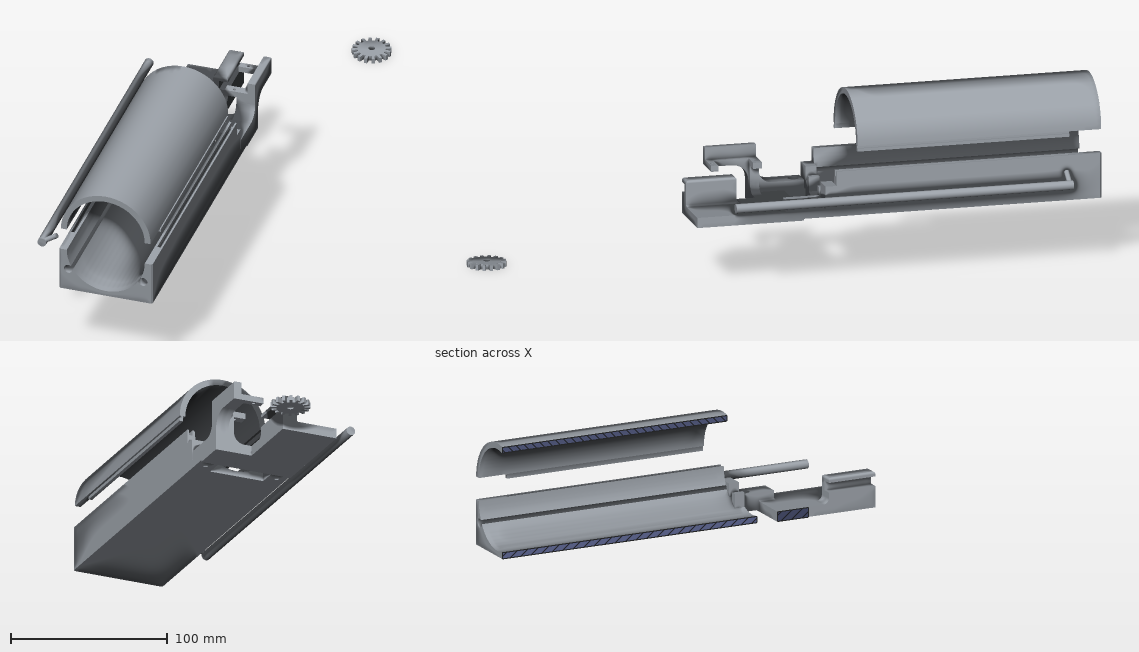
import cadquery as cq
import math


half_width = 31.2
bore_radius = 26.0
joint_y = 182.0
lap_end_y = 196.0
lap_z = 5.5
lap_inner_x = 18.5
screw_x = 25.0
screw_y = 188.5
screw_hole_dia = 3.32

channel_top_z = 29.5
wall_end_y = 175.0
shelf_z = 20.0
front_chamfer = 1.0
rod_dia = 6.0
groove_end_y = 178.5
rod_axis_z = 15.5
groove_x = 25.0
post_inner_x = 10.5
post_width = 3.5
post_top_z = 15.5
slot_start_y = 21.0
slot_inner_x = 27.5
slot_width = 2.5
slot_depth = 3.5

cover_length = 160.5
cover_radius = 30.0
cover_axis_z = 45.0
lip_inner_x = slot_inner_x
neck_width = 1.0
neck_height = 1.5
bead_height = 2.0

plate_bottom_z = -1.0
plate_right_x = 6.5
mount_end_y = 266.5
ear_top_z = 11.5
ear_gap = 1.0
ear_front_y = joint_y + ear_gap
foot_fillet = 1.0
ear_rear_y = 207.0
screw_head_dia = 7.0
screw_head_depth = 2.5

tower_left_x = -3.5
tower_start_y = 233.5
tower_top_z = 22.5
tower_edge_radius = 1.5
tower_foot_radius = 3.5
jaw_back_x = 0.5
jaw_bottom_z = 13.0
jaw_top_z = 19.5

bracket_start_y = 212.8
bracket_end_y = 246.5
near_arm_width = 6.0
far_arm_width = 4.7
column_end_y = bracket_start_y + near_arm_width
arm_tip_x = 10.5
arm_bottom_z = 23.5
arm_top_z = 27.3
rail_x = 22.5
fence_x = 26.0
fence_top_z = 35.2
fence_edge_radius = 0.8
ramp_radius = 8.5
rail_arch_radius = 10.5
column_foot_radius = 7.0
arm_hole_dia = 2.0
arm_hole_x = 16.5
arm_hole_inset = 2.5

rod_x = -50.5
rod_start_y = 24.0
rod_end_y = 246.5
lever_dia = 3.32
lever_length = 11.5
lever_angle = 33

gear_x = 54.0
gear_y = 383.0
gear_bottom_z = -40.7
gear_thickness = 3.5
gear_radius = 12.5
gear_root_radius = 9.0
gear_teeth = 16
tooth_width = 2.0
gear_bore_dia = 4.5


def box(x0, x1, y0, y1, z0, z1):
    """Block between two opposite corners."""
    return cq.Workplane("XY").box(x1 - x0, y1 - y0, z1 - z0, centered=False).translate((x0, y0, z0))


def rod_along_y(diameter, x, z, y0, y1):
    """Cylinder parallel to Y."""
    profile = cq.Workplane("XZ", origin=(0, y0, 0)).center(x, z).circle(diameter / 2)
    return profile.extrude(-(y1 - y0))


def drill(diameter, x, y, z0, z1):
    """Cylinder parallel to Z, used as a cutter."""
    return cq.Workplane("XY", origin=(x, y, z0)).circle(diameter / 2).extrude(z1 - z0)


def mirrored_pair(shape):
    """The shape together with its mirror image across X = 0."""
    return shape.union(shape.mirror("YZ"))


def make_channel():
    body = box(-half_width, half_width, 0, joint_y, 0, channel_top_z)
    body = body.edges("|Z and <Y").chamfer(front_chamfer)
    body = body.cut(rod_along_y(2 * bore_radius, 0, channel_top_z, 0, joint_y))

    body = body.cut(box(-half_width, half_width, wall_end_y, joint_y, shelf_z, channel_top_z))
    body = body.union(mirrored_pair(box(lap_inner_x, half_width, wall_end_y, joint_y, 0, shelf_z)))

    body = body.cut(mirrored_pair(rod_along_y(rod_dia, groove_x, rod_axis_z, 0, groove_end_y)))

    slot = box(
        slot_inner_x, slot_inner_x + slot_width,
        slot_start_y, wall_end_y,
        channel_top_z - slot_depth, channel_top_z,
    )
    body = body.cut(mirrored_pair(slot))

    post = box(post_inner_x, post_inner_x + post_width, wall_end_y, joint_y, 0, post_top_z)
    body = body.union(mirrored_pair(post))

    tab = box(lap_inner_x, half_width, joint_y, lap_end_y, 0, lap_z)
    tab = tab.cut(drill(screw_hole_dia, screw_x, screw_y, 0, lap_z))
    return body.union(mirrored_pair(tab))


def make_cover():
    shell = (
        cq.Workplane("XZ")
        .moveTo(-cover_radius, cover_axis_z)
        .threePointArc((0, cover_axis_z + cover_radius), (cover_radius, cover_axis_z))
        .lineTo(bore_radius, cover_axis_z)
        .threePointArc((0, cover_axis_z + bore_radius), (-bore_radius, cover_axis_z))
        .close()
        .extrude(-cover_length)
    )
    neck_z = cover_axis_z - neck_height
    neck = box(lip_inner_x, lip_inner_x + neck_width, slot_start_y, cover_length, neck_z, cover_axis_z)
    bead = box(lip_inner_x, cover_radius, slot_start_y, cover_length, neck_z - bead_height, neck_z)
    return shell.union(mirrored_pair(neck.union(bead)))


def make_tower():
    """Block with a jaw open towards +X."""
    tower = box(tower_left_x, plate_right_x, tower_start_y, mount_end_y, lap_z, tower_top_z)
    tower = tower.faces(">Z").edges().fillet(tower_edge_radius)
    return tower.cut(box(jaw_back_x, plate_right_x, tower_start_y, mount_end_y, jaw_bottom_z, jaw_top_z))


def make_tower_foot():
    """Large concave fillet along the front of the tower."""
    foot_y = tower_start_y - tower_foot_radius
    return (
        cq.Workplane("YZ", origin=(tower_left_x, 0, 0))
        .moveTo(foot_y, lap_z)
        .radiusArc((tower_start_y, lap_z + tower_foot_radius), -tower_foot_radius)
        .lineTo(tower_start_y, lap_z)
        .close()
        .extrude(plate_right_x - tower_left_x)
    )


def make_bracket():
    """Two arms on a rail that reaches back from a column at the +X side."""
    near_arm = box(arm_tip_x, half_width, bracket_start_y, column_end_y, arm_bottom_z, arm_top_z)
    far_arm_y = bracket_end_y - far_arm_width
    far_arm = box(arm_tip_x, half_width, far_arm_y, bracket_end_y, arm_bottom_z, arm_top_z)
    rail = box(rail_x, half_width, bracket_start_y, bracket_end_y, arm_bottom_z, arm_top_z)
    fence = box(fence_x, half_width, bracket_start_y, bracket_end_y, arm_top_z, fence_top_z)
    fence = fence.edges(">X and >Z").fillet(fence_edge_radius)
    column = box(lap_inner_x, half_width, bracket_start_y, column_end_y, lap_z, arm_bottom_z)
    bracket = rail.union(near_arm).union(far_arm).union(fence).union(column)

    arch_z = arm_bottom_z - rail_arch_radius
    arch = (
        cq.Workplane("YZ", origin=(rail_x, 0, 0))
        .moveTo(column_end_y, arch_z)
        .radiusArc((column_end_y + rail_arch_radius, arm_bottom_z), rail_arch_radius)
        .lineTo(column_end_y, arm_bottom_z)
        .close()
        .extrude(half_width - rail_x)
    )

    ramp = (
        cq.Workplane("YZ", origin=(lap_inner_x, 0, 0))
        .moveTo(bracket_start_y - ramp_radius, ear_top_z)
        .radiusArc((bracket_start_y, ear_top_z + ramp_radius), -ramp_radius)
        .lineTo(bracket_start_y, ear_top_z)
        .close()
        .extrude(half_width - lap_inner_x)
    )

    foot = (
        cq.Workplane("XZ", origin=(0, bracket_start_y, 0))
        .moveTo(lap_inner_x - column_foot_radius, lap_z)
        .radiusArc((lap_inner_x, lap_z + column_foot_radius), -column_foot_radius)
        .lineTo(lap_inner_x, lap_z)
        .close()
        .extrude(-near_arm_width)
    )
    bracket = bracket.union(arch).union(ramp).union(foot)

    for hole_y in (bracket_start_y + arm_hole_inset, bracket_end_y - arm_hole_inset):
        bracket = bracket.cut(drill(arm_hole_dia, arm_hole_x, hole_y, arm_bottom_z, arm_top_z))
    return bracket


def fillet_foot(body, x0, x1, y0, y1):
    """Fillet the edges on top of the mount plate whose middles lie in the given rectangle."""
    margin = 0.5
    corner = (x0 - margin, y0 - margin, lap_z - margin)
    opposite = (x1 + margin, y1 + margin, lap_z + margin)
    edges = body.edges(cq.selectors.BoxSelector(corner, opposite)).edges("not |Z")
    return edges.fillet(foot_fillet)


def make_mount():
    body = box(-half_width, plate_right_x, lap_end_y, mount_end_y, plate_bottom_z, lap_z)
    body = body.union(box(plate_right_x, half_width, lap_end_y, column_end_y, plate_bottom_z, lap_z))

    body = body.union(box(-half_width, -lap_inner_x, ear_front_y, ear_rear_y, lap_z, ear_top_z))
    body = body.union(box(lap_inner_x, half_width, ear_front_y, bracket_start_y, lap_z, ear_top_z))
    body = body.union(make_tower())

    ear_foot_middle_y = (lap_end_y + ear_rear_y) / 2
    body = fillet_foot(body, -half_width, -lap_inner_x, ear_foot_middle_y, ear_rear_y)
    body = fillet_foot(body, tower_left_x, tower_left_x, tower_start_y, mount_end_y)

    for x in (-screw_x, screw_x):
        body = body.cut(drill(screw_hole_dia, x, screw_y, lap_z, ear_top_z))
        body = body.cut(drill(screw_head_dia, x, screw_y, ear_top_z - screw_head_depth, ear_top_z))
    return body.union(make_tower_foot()).union(make_bracket())


def make_rod():
    rod = rod_along_y(rod_dia, rod_x, rod_axis_z, rod_start_y, rod_end_y)
    angle = math.radians(lever_angle)
    lever = cq.Solid.makeCylinder(
        lever_dia / 2,
        lever_length,
        cq.Vector(rod_x, rod_start_y + lever_dia / 2, rod_axis_z),
        cq.Vector(math.cos(angle), 0, math.sin(angle)),
    )
    return rod.union(cq.Workplane(lever))


def make_gear():
    gear = cq.Workplane("XY").circle(gear_root_radius).extrude(gear_thickness)
    tooth = box(0, gear_radius, -tooth_width / 2, tooth_width / 2, 0, gear_thickness)
    for i in range(gear_teeth):
        gear = gear.union(tooth.rotate((0, 0, 0), (0, 0, 1), i * 360 / gear_teeth))
    gear = gear.cut(drill(gear_bore_dia, 0, 0, 0, gear_thickness))
    return gear.translate((gear_x, gear_y, gear_bottom_z))


channel = make_channel()
cover = make_cover()
mount = make_mount()
rod = make_rod()
gear = make_gear()

result = cq.Compound.makeCompound([channel.val(), cover.val(), mount.val(), rod.val(), gear.val()])